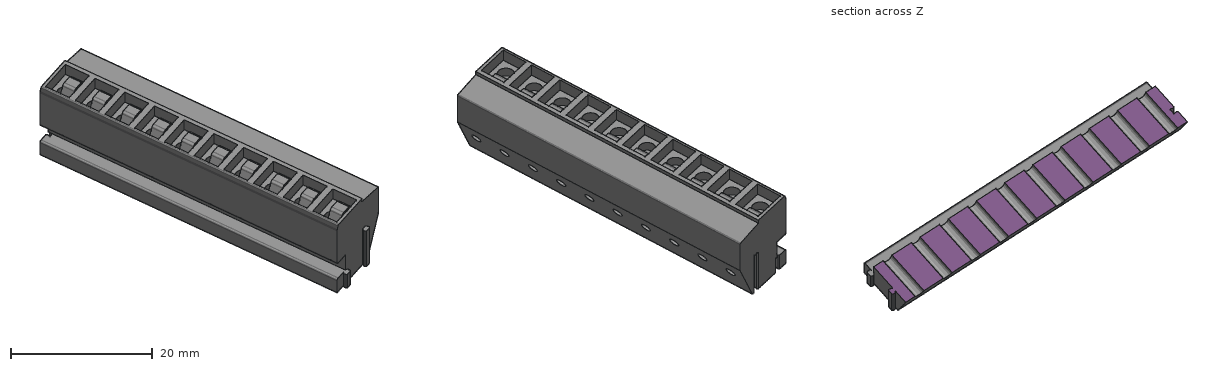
import cadquery as cq
import math

pole_count = 10
pitch = 5.0
body_length = pole_count * pitch

body_depth = 10.8
body_height = 13.5
deck_depth = 6.5
deck_step = 0.6
shoulder_height = 12.2
back_bevel_height = 6.9
base_depth = 7.9
shoulder_round = 0.15

top_bevel_depth = 0.3
top_bevel_height = 0.82
top_bevel_upper_round = 0.18
top_bevel_lower_round = 0.6

channel_bottom = 2.75
channel_top = 5.8
channel_depth = 2.15
channel_edge_round = 0.3

wire_hole_diameter = 1.5
wire_hole_height = 4.25

pocket_width = 4.0
pocket_front = 0.7
pocket_back = 5.85
pocket_depth = 2.0
pocket_floor = body_height - pocket_depth

well_diameter = 2.5
well_centre = 2.75

tongue_width = 2.0
tongue_rise = 0.45
tongue_ramp_drop = 0.3
tongue_ramp_end = 5.4
tongue_flat_end = 4.05
nose_radius = 0.5
nose_angle = math.radians(66)
nose_end = tongue_flat_end - nose_radius * math.sin(nose_angle)
nose_drop = nose_radius * (1 - math.cos(nose_angle))
tongue_tip = 2.85
tip_drop = (nose_end - tongue_tip) * math.tan(nose_angle)
well_depth = nose_drop + tip_drop - tongue_rise

rib_projection = 0.7
rib_root_width = 0.65
rib_head_width = 1.05
rib_tip_width = 0.75
rib_flare = 0.25
rib_tip_bevel = 0.15
groove_depth = rib_projection
groove_mouth_width = 0.95
groove_neck_width = 0.65
groove_neck_depth = 0.2
groove_floor_width = 0.95
joint_places = [(2.0, channel_bottom), (7.0, 7.2)]

pole_centres = [(index + 0.5) * pitch for index in range(pole_count)]


def extrude_along_x(profile, start, length):
    """Extrude a profile sketched in (Y, Z) along +X."""
    return profile.extrude(length).translate((start, 0, 0))


def make_body():
    outline = (
        cq.Workplane("YZ")
        .moveTo(0, 0)
        .lineTo(base_depth, 0)
        .lineTo(body_depth, back_bevel_height)
        .lineTo(body_depth, shoulder_height)
        .lineTo(deck_depth, body_height - deck_step)
        .lineTo(deck_depth, body_height)
        .lineTo(top_bevel_depth, body_height)
        .lineTo(0, body_height - top_bevel_height)
        .lineTo(0, channel_top)
        .lineTo(channel_depth, channel_top)
        .lineTo(channel_depth, channel_bottom)
        .lineTo(0, channel_bottom)
        .close()
    )
    body = extrude_along_x(outline, 0, body_length)
    rounded_edges = [
        (body_depth, shoulder_height, shoulder_round),
        (top_bevel_depth, body_height, top_bevel_upper_round),
        (0, body_height - top_bevel_height, top_bevel_lower_round),
        (0, channel_top, channel_edge_round),
        (0, channel_bottom, channel_edge_round),
    ]
    for y, z, radius in rounded_edges:
        edge = cq.selectors.NearestToPointSelector((body_length / 2, y, z))
        body = body.edges(edge).fillet(radius)
    return body


def make_wire_hole(centre):
    return (
        cq.Workplane("XZ", origin=(centre, 0, wire_hole_height))
        .circle(wire_hole_diameter / 2)
        .extrude(-body_depth)
    )


def make_pocket(centre):
    length = pocket_back - pocket_front
    return cq.Workplane("XY").box(pocket_width, length, pocket_depth, centered=(True, False, False)).translate(
        (centre, pocket_front, pocket_floor)
    )


def make_well(centre):
    return (
        cq.Workplane("XY", origin=(centre, well_centre, pocket_floor))
        .circle(well_diameter / 2)
        .extrude(-well_depth)
    )


def nose_point(angle):
    """Point (Y, Z) on the rounded nose, at an angle measured from its start."""
    y = tongue_flat_end - nose_radius * math.sin(angle)
    z = pocket_floor + tongue_rise - nose_radius * (1 - math.cos(angle))
    return (y, z)


def make_tongue(centre):
    top = pocket_floor + tongue_rise
    bottom = pocket_floor - well_depth
    outline = (
        cq.Workplane("YZ")
        .moveTo(pocket_back, bottom)
        .lineTo(pocket_back, top - tongue_ramp_drop)
        .lineTo(tongue_ramp_end, top)
        .lineTo(tongue_flat_end, top)
        .threePointArc(nose_point(nose_angle / 2), nose_point(nose_angle))
        .lineTo(tongue_tip, bottom)
        .close()
    )
    return extrude_along_x(outline, centre - tongue_width / 2, tongue_width)


def make_rib(centre, height):
    flare_x = body_length + rib_flare
    bevel_x = body_length + rib_projection - rib_tip_bevel
    tip_x = body_length + rib_projection
    half_outline = [
        (body_length, rib_root_width / 2),
        (flare_x, rib_head_width / 2),
        (bevel_x, rib_head_width / 2),
        (tip_x, rib_tip_width / 2),
    ]
    mirrored = [(x, -y) for x, y in reversed(half_outline)]
    return cq.Workplane("XY").polyline(half_outline + mirrored).close().extrude(height).translate((0, centre, 0))


def make_groove(centre, height):
    mouth = groove_mouth_width / 2
    floor = groove_floor_width / 2
    neck = groove_neck_width / 2
    half_outline = [(0, mouth), (groove_neck_depth, neck), (groove_depth, floor)]
    mirrored = [(x, -y) for x, y in reversed(half_outline)]
    outline = half_outline + mirrored
    return cq.Workplane("XY").polyline(outline).close().extrude(height).translate((0, centre, 0))


result = make_body()
for pole_centre in pole_centres:
    result = result.cut(make_wire_hole(pole_centre))
    result = result.cut(make_pocket(pole_centre))
    result = result.cut(make_well(pole_centre))
    result = result.union(make_tongue(pole_centre))
for joint_centre, joint_height in joint_places:
    result = result.cut(make_groove(joint_centre, joint_height))
    result = result.union(make_rib(joint_centre, joint_height))